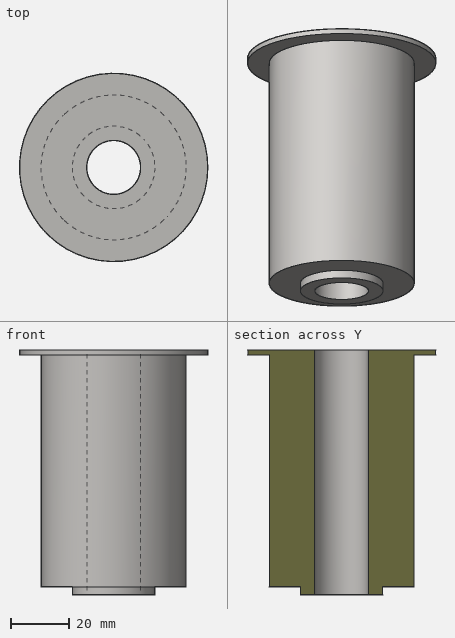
import cadquery as cq

total_height = 84.5
flange_diameter = 65.0
flange_thickness = 1.8

barrel_diameter = 50.0
spigot_diameter = 28.5
spigot_height = 2.8

bore_diameter = 18.5

barrel_height = total_height - flange_thickness - spigot_height


def add_cylinder(body, diameter, height):
    """Stack a coaxial cylinder on the top face of the body."""
    return body.faces(">Z").workplane().circle(diameter / 2).extrude(height)


spigot = cq.Workplane("XY").circle(spigot_diameter / 2).extrude(spigot_height)
barrel = add_cylinder(spigot, barrel_diameter, barrel_height)
bushing = add_cylinder(barrel, flange_diameter, flange_thickness)

result = bushing.faces(">Z").workplane().hole(bore_diameter)